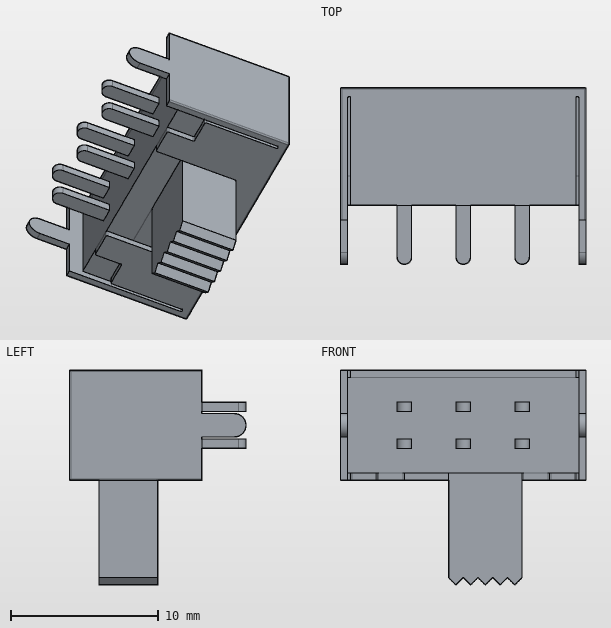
import cadquery as cq


frame_width = 16.7
frame_depth = 9.0
frame_height = 7.5
sheet = 0.5
bend_radius = 0.1
corner_radius = 0.1
flap_front = 1.0
inner_half_width = frame_width / 2 - sheet
inner_height = frame_height - 2 * sheet
inner_back = frame_depth - sheet
inner_x = (-inner_half_width, inner_half_width)
inner_z = (-inner_height / 2, inner_height / 2)

relief_width = 0.2
relief_end = 8.4
flap_half_width = inner_half_width - relief_width

base_thickness = 2.0
base_back = flap_front + base_thickness

lever_width = 5.0
lever_left = -1.0
lever_front = base_back
lever_thickness = 4.0
lever_reach = 7.1
tooth_count = 5
tooth_depth = 0.5

window_half_width = 4.0
window_back = lever_front + lever_thickness
tab_width = 1.85
tab_outer = window_half_width + tab_width
notch_back = base_back

pin_pitch_x = 4.0
pin_pitch_z = 2.5
pin_width = 1.0
pin_thickness = 0.65
terminal_reach = 3.0
ear_height = 1.6


def block(x_range, y_range, z_range):
    """Axis-aligned box between the given limits."""
    limits = (x_range, y_range, z_range)
    size = [high - low for low, high in limits]
    corner = tuple(low for low, high in limits)
    return cq.Workplane("XY").box(*size, centered=False).translate(corner)


def tongue(width, root_y, tip_y, thickness):
    """Flat tongue along Y with a full-round tip, centred on X = 0 and Z = 0."""
    radius = width / 2
    straight_end = tip_y + radius if tip_y < root_y else tip_y - radius
    return (
        cq.Workplane("XY")
        .moveTo(-radius, root_y)
        .lineTo(-radius, straight_end)
        .threePointArc((0, tip_y), (radius, straight_end))
        .lineTo(radius, root_y)
        .close()
        .extrude(thickness / 2, both=True)
    )


def round_upright_edge(solid, x, y, z):
    """Round the edge parallel to Z that lies nearest to the given point."""
    nearest = cq.NearestToPointSelector((x, y, z))
    edge = solid.edges("|Z").edges(nearest)
    return edge.fillet(corner_radius)


def make_bottom_cutter():
    """Lever window and corner notches, cut through the bottom flap."""
    z_range = (-frame_height / 2, -inner_height / 2)
    cutter = block((-window_half_width, window_half_width), (flap_front, window_back), z_range)
    for side in (-1, 1):
        x_range = sorted((side * tab_outer, side * inner_half_width))
        notch = block(x_range, (flap_front, notch_back), z_range)
        notch = round_upright_edge(notch, side * tab_outer, notch_back, -frame_height / 2)
        cutter = cutter.union(notch)
    return cutter


def make_ears():
    """Round-tipped mounting ears that continue the side walls."""
    ear = tongue(ear_height, 0, -terminal_reach, sheet)
    ear = ear.rotate((0, 0, 0), (0, 1, 0), 90)
    ear_x = (frame_width - sheet) / 2
    return [ear.translate((side * ear_x, 0, 0)) for side in (-1, 1)]


def make_frame():
    """Folded sheet frame: back, side walls with ears, top flap and bottom flap."""
    half_width = frame_width / 2
    half_height = frame_height / 2
    frame = block((-half_width, half_width), (0, frame_depth), (-half_height, half_height))
    frame = frame.edges("|Y or >Y").fillet(bend_radius)

    frame = frame.cut(block(inner_x, (0, flap_front), (-half_height, half_height)))
    frame = frame.cut(block(inner_x, (flap_front, inner_back), inner_z))

    relief = tongue(relief_width, flap_front, relief_end, 2 * frame_height)
    relief_x = inner_half_width - relief_width / 2
    for side in (-1, 1):
        frame = frame.cut(relief.translate((side * relief_x, 0, 0)))
    frame = frame.cut(make_bottom_cutter())

    flap_middle = -(frame_height - sheet) / 2
    for side in (-1, 1):
        for x, y in (
            (window_half_width, flap_front),
            (tab_outer, flap_front),
            (flap_half_width, notch_back),
        ):
            frame = round_upright_edge(frame, side * x, y, flap_middle)

    for ear in make_ears():
        frame = frame.union(ear)
    return frame


def make_lever():
    """Lever bar with a row of V teeth across its tip."""
    tooth_pitch = lever_width / tooth_count
    tip = -frame_height / 2 - lever_reach
    root = tip + tooth_depth
    top = -inner_height / 2
    outline = [(lever_left, top), (lever_left, root)]
    for index in range(tooth_count):
        left = lever_left + index * tooth_pitch
        outline.append((left + tooth_pitch / 2, tip))
        outline.append((left + tooth_pitch, root))
    outline.append((lever_left + lever_width, top))
    bar = cq.Workplane("XZ").polyline(outline).close().extrude(-lever_thickness)
    return bar.translate((0, lever_front, 0))


def make_pins():
    """Two rows of three round-tipped pins."""
    pin = tongue(pin_width, flap_front, -terminal_reach, pin_thickness)
    positions = [
        (column * pin_pitch_x, 0, row * pin_pitch_z / 2)
        for column in (-1, 0, 1)
        for row in (-1, 1)
    ]
    return [pin.translate(position) for position in positions]


terminal_base = block(inner_x, (flap_front, base_back), inner_z)
core = block(inner_x, (base_back, inner_back), inner_z)

result = make_frame()
for piece in [terminal_base, core, make_lever(), *make_pins()]:
    result = result.union(piece, clean=False)